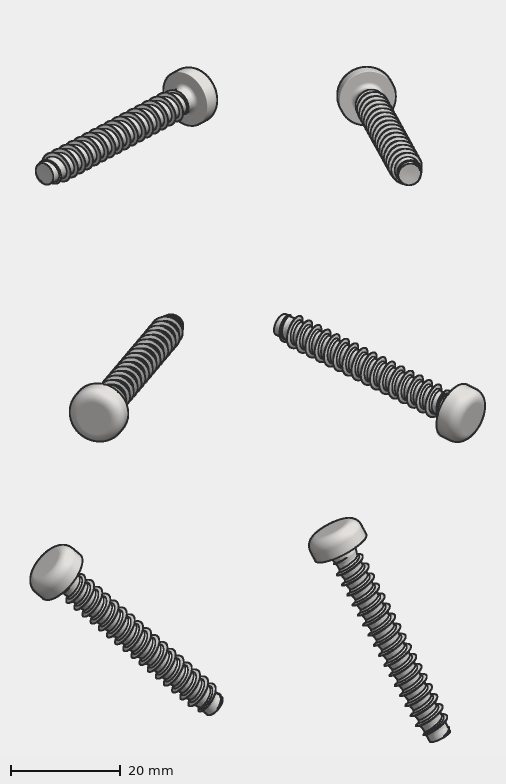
import cadquery as cq
import math


total_length = 44.2
head_diameter = 10.5
head_height = 4.15
head_edge_radius = 2.05
head_rim_radius = 0.1

neck_diameter = 4.7
neck_fillet_radius = 0.8
neck_end = 5.6

core_diameter = 4.2
core_start = 6.55
tip_recess_depth = 0.15

thread_diameter = 6.0
first_crest = 6.75
last_crest = 43.1
turns_between_crests = 17
crest_half_width = 0.025
flank_foot_half_width = 0.25
leading_foot_diameter = 4.55
trailing_foot_diameter = 4.65
leading_slope_length = 0.8
trailing_slope_length = 1.3
root_overlap = 0.015

run_in_start = 4.85
run_in_end = 7.75
run_out_start = 41.1
run_out_end = 44.0
smallest_ridge_scale = 0.04

points_per_turn = 16

head_radius = head_diameter / 2
neck_radius = neck_diameter / 2
core_radius = core_diameter / 2
thread_radius = thread_diameter / 2
root_radius = core_radius - root_overlap
pitch = (last_crest - first_crest) / turns_between_crests


def make_body():
    """Head, neck and plain core, revolved about Z as one profile of radius and height."""
    dome_arc = head_edge_radius
    rim_arc = head_rim_radius
    neck_arc = neck_fillet_radius
    outline = (
        cq.Workplane("XZ")
        .moveTo(0, 0)
        .lineTo(head_radius - dome_arc, 0)
        .radiusArc((head_radius, dome_arc), -dome_arc)
        .lineTo(head_radius, head_height - rim_arc)
        .radiusArc((head_radius - rim_arc, head_height), -rim_arc)
        .lineTo(neck_radius + neck_arc, head_height)
        .radiusArc((neck_radius, head_height + neck_arc), neck_arc)
        .lineTo(neck_radius, neck_end)
        .lineTo(core_radius, core_start)
        .lineTo(core_radius, total_length)
        .lineTo(0, total_length - tip_recess_depth)
        .close()
    )
    return outline.revolve(360, (0, 0, 0), (0, 1, 0))


def thread_scale(height):
    """Size of the ridge at a height: 1 over the full thread, fading out towards both ends."""
    run_in = (height - run_in_start) / (run_in_end - run_in_start)
    run_out = (run_out_end - height) / (run_out_end - run_out_start)
    return max(smallest_ridge_scale, min(1, run_in, run_out))


def thread_point(corner, height):
    """Point of one profile corner, a radius and an offset, where the ridge centre is at a height."""
    radius, offset = corner
    scale = thread_scale(height)
    angle = 2 * math.pi * (height - first_crest) / pitch + math.pi / 2
    scaled_radius = root_radius + scale * (radius - root_radius)
    return cq.Vector(
        scaled_radius * math.cos(angle),
        scaled_radius * math.sin(angle),
        height + scale * offset,
    )


def helical_edge(corner, start, end):
    """Curve that a profile corner follows between two heights."""
    steps = math.ceil(points_per_turn * (end - start) / pitch)
    heights = [start + (end - start) * i / steps for i in range(steps + 1)]
    return cq.Edge.makeSpline([thread_point(corner, height) for height in heights])


def make_thread():
    """Right-handed thread ridge, with the sloped root shoulders on both sides of it."""
    corners = [
        (root_radius, -leading_slope_length),
        (leading_foot_diameter / 2, -flank_foot_half_width),
        (thread_radius, -crest_half_width),
        (thread_radius, crest_half_width),
        (trailing_foot_diameter / 2, flank_foot_half_width),
        (root_radius, trailing_slope_length),
    ]
    stops = [run_in_start, run_in_end, run_out_start, run_out_end]
    faces = []
    for start, end in zip(stops, stops[1:]):
        edges = [helical_edge(corner, start, end) for corner in corners]
        for edge, next_edge in zip(edges, edges[1:] + edges[:1]):
            faces.append(cq.Face.makeRuledSurface(edge, next_edge))
    for end in (run_in_start, run_out_end):
        points = [thread_point(corner, end) for corner in corners]
        faces.append(cq.Face.makeFromWires(cq.Wire.makePolygon(points, close=True)))
    return cq.Solid.makeSolid(cq.Shell.makeShell(faces))


screw = make_body().union(cq.Workplane(obj=make_thread()))

result = screw.rotate((0, 0, 0), (1, 0, 0), 90)